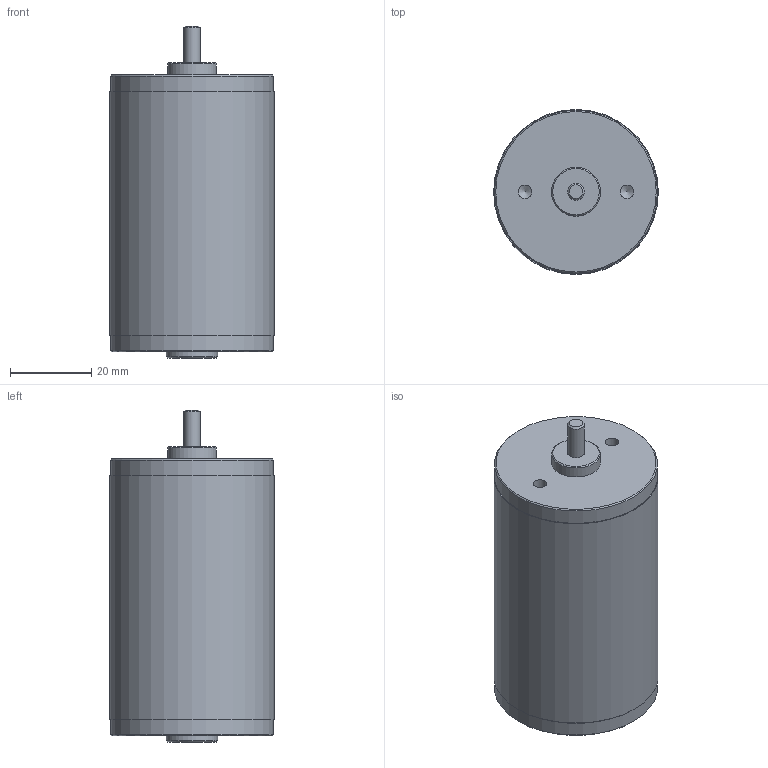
import cadquery as cq
import math

housing_length = 68.0
end_cap_length = 4.0
front_boss_length = 3.0
shaft_length = 9.0
rear_boss_length = 1.5

can_diameter = 40.4
end_cap_diameter = 40.0
front_boss_diameter = 12.0
rear_boss_diameter = 12.6
shaft_diameter = 4.15

end_cap_chamfer = 0.3
boss_chamfer = 0.3
shaft_chamfer = 0.4

mounting_hole_diameter = 3.3
mounting_hole_spacing = 25.0
mounting_hole_depth = 4.0
drill_point_angle = 118.0

rear_face_z = -housing_length


def cylinder(diameter, length, bottom_z):
    """Solid cylinder on the motor axis, rising from bottom_z."""
    return cq.Workplane("XY", origin=(0, 0, bottom_z)).circle(diameter / 2).extrude(length)


def make_housing():
    """Slightly wider can between two end caps with chamfered outer rims."""
    caps = cylinder(end_cap_diameter, housing_length, rear_face_z).edges("%CIRCLE").chamfer(end_cap_chamfer)
    can_length = housing_length - 2 * end_cap_length
    can = cylinder(can_diameter, can_length, rear_face_z + end_cap_length)
    return caps.union(can)


def make_front_boss():
    """Pilot boss on the mounting face."""
    return cylinder(front_boss_diameter, front_boss_length, 0).faces(">Z").edges().chamfer(boss_chamfer)


def make_shaft():
    """Output shaft with a chamfered tip."""
    return cylinder(shaft_diameter, shaft_length, front_boss_length).faces(">Z").edges().chamfer(shaft_chamfer)


def make_rear_boss():
    """Low boss on the rear end cap."""
    boss = cylinder(rear_boss_diameter, rear_boss_length, rear_face_z - rear_boss_length)
    return boss.faces("<Z").edges().chamfer(boss_chamfer)


def make_mounting_hole(center_x):
    """Drilled hole volume: straight wall with a conical bottom."""
    radius = mounting_hole_diameter / 2
    point_length = radius / math.tan(math.radians(drill_point_angle / 2))
    half_section = (
        cq.Workplane("XZ")
        .moveTo(0, 0)
        .lineTo(radius, 0)
        .lineTo(radius, -mounting_hole_depth)
        .lineTo(0, -mounting_hole_depth - point_length)
        .close()
    )
    return half_section.revolve(360, (0, 0, 0), (0, 1, 0)).translate((center_x, 0, 0))


result = make_housing()
for feature in (make_front_boss(), make_shaft(), make_rear_boss()):
    result = result.union(feature)
for side in (-1, 1):
    result = result.cut(make_mounting_hole(side * mounting_hole_spacing / 2))